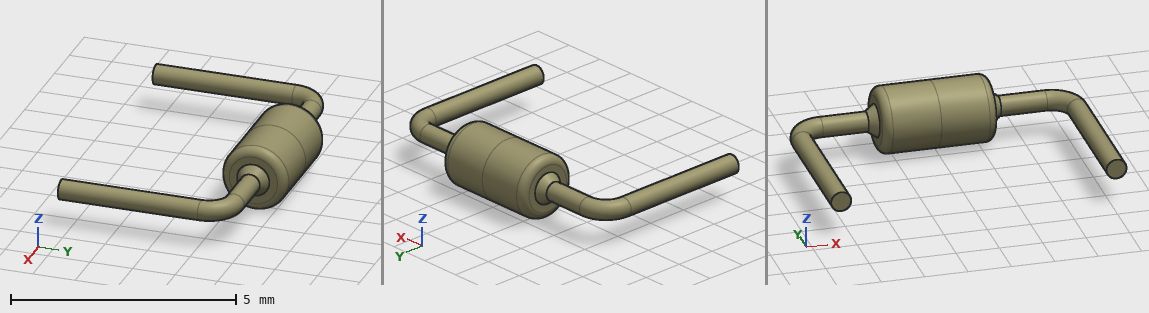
import cadquery as cq

overall_length = 6.81
body_length = 2.63
body_diameter = 1.53
body_edge_radius = 0.2
lead_diameter = 0.46
lead_reach = 3.87
bend_radius = 0.585
collar_length = 0.21
collar_diameter = 0.76

body_half = body_length / 2
lead_radius = lead_diameter / 2
lead_x = overall_length / 2 - lead_radius


def make_body():
    """Cylindrical package with rounded rims."""
    cylinder = cq.Workplane("YZ").circle(body_diameter / 2).extrude(body_half, both=True)
    return cylinder.edges("%CIRCLE").fillet(body_edge_radius)


def make_collar():
    """Tapered collar on the +X end of the body."""
    return (
        cq.Workplane("YZ")
        .workplane(offset=body_half)
        .circle(collar_diameter / 2)
        .workplane(offset=collar_length)
        .circle(lead_radius)
        .loft()
    )


def make_lead():
    """Lead on the +X side, starting inside the body and bent towards -Y."""
    path = (
        cq.Workplane("XY")
        .lineTo(lead_x - bend_radius, 0)
        .tangentArcPoint((bend_radius, -bend_radius))
        .lineTo(lead_x, -lead_reach)
    )
    return cq.Workplane("YZ").circle(lead_radius).sweep(path)


right_end = make_collar().union(make_lead())
result = make_body().union(right_end).union(right_end.mirror("YZ"))